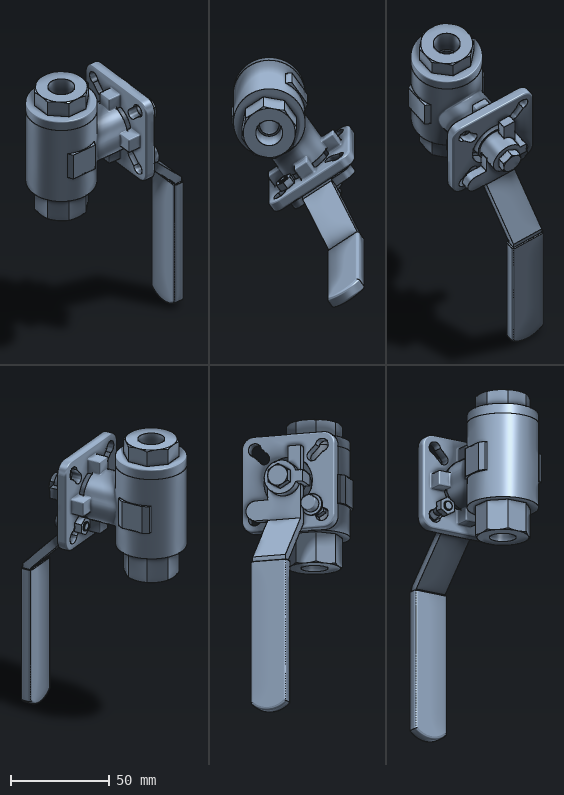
import cadquery as cq
import math


BARREL_R = 18.25
BARREL_BOTTOM = -20.1
SEAM_Z = 24.6
CAP_TOP = 30.0
CAP_EDGE = 0.8
OCTAGON_FLATS = 26.4
OCTAGON_BOTTOM = -36.0
OCTAGON_TOP = 38.85
OCTAGON_BEVEL = math.radians(30)
BORE_R = 4.9
PORT_MOUTH_R = 6.8
PORT_END_R = 5.9
PORT_DEPTH = 12.0

PAD_X = 18.85
PAD_LEFT_FLAT_HALF = 6.0
PAD_LEFT_SHOULDER_X = 17.0
PAD_LEFT_HALF = 9.3
PAD_RIGHT_FLAT_HALF = 7.2
PAD_RIGHT_ROOT_X = 16.0
PAD_RIGHT_HALF = 8.7
PAD_BOTTOM = -5.2
PAD_TOP = 9.8

NECK_R = 13.6
NECK_END = 32.4
NECK_FILLET = 1.4
BONNET_R = 9.7
BONNET_END = 41.3
PLATE_SIZE = 50.16
PLATE_NEAR = 35.28
PLATE_FAR = 41.0
PLATE_CORNER_R = 6.4
PLATE_BORE_R = 13.0
PLATE_EDGE = 1.0
LUG_WIDTH = 8.1
LUG_OUTER = 20.25
LUG_TIP = 27.9
LUG_FILLET = 0.7
LUG_BASE_FILLET = 0.8
SLOT_WIDTH = 5.5
PLATE_HOLE_R = 3.4
INNER_CIRCLE_R = 18.2
OUTER_CIRCLE_R = 25.5

COLLAR_R = 8.7
COLLAR_END = 53.2
DRIVE_R = 6.0
RIB_X = 11.8
RIB_WIDTH = 6.0
STEM_NUT_FLATS = 10.6
STEM_NUT_END = 57.6
NUT_BEVEL = math.radians(30)

HANDLE_WIDTH = 17.7
HANDLE_NEAR = 42.75
HANDLE_THICK = 4.6
UPPER_BEND_Z = -20.8
LOWER_BEND_Z = -45.2
TAB_TOP = 17.3
TAB_RIGHT = -2.0
EAR_CENTRE = 15.3
EAR_R = 5.2
GRIP_WIDTH = 19.6
GRIP_THICK = 6.3
GRIP_FAR = 71.93
GRIP_TOP = -47.8
GRIP_BOTTOM = -126.03
GRIP_SIDE_BOTTOM = -121.8
GRIP_FILLET = 1.5
GRIP_END_WALL = 5.0

STOP_OFFSET = -INNER_CIRCLE_R / math.sqrt(2)
BOLT_R = 2.5
BOLT_HEAD_R = -STOP_OFFSET - HANDLE_WIDTH / 2
BOLT_HEAD_END = 47.3
BOLT_EDGE = 0.4
BOLT_FLANGE_R = 5.55
BOLT_FLANGE_END = 42.3
BOLT_TIP = 30.5
BOLT_NUT_FLATS = 8.2
BOLT_NUT_NEAR = 31.2

MARGIN = 0.1


def cylinder_y(radius, y_start, y_end, x=0.0, z=0.0):
    solid = cq.Solid.makeCylinder(radius, y_end - y_start, cq.Vector(x, y_start, z), cq.Vector(0, 1, 0))
    return cq.Workplane(obj=solid)


def xz_plane(y):
    """Sketch plane at the given y: local x is X, local y is Z and a negative extrusion goes toward +Y."""
    return cq.Workplane("XZ", origin=(0, y, 0))


def prism_diameter(across_flats, sides):
    return across_flats / math.cos(math.pi / sides)


def beveled_octagon(z_inner, z_end):
    """Octagonal wrench section whose corners are turned down to the flats at its outer end."""
    diameter = prism_diameter(OCTAGON_FLATS, 8)
    flat_r = OCTAGON_FLATS / 2
    corner_r = diameter / 2
    outward = math.copysign(1, z_end - z_inner)
    bevel = (corner_r - flat_r) * math.tan(OCTAGON_BEVEL) * outward
    prism = (
        cq.Workplane(origin=(0, 0, z_inner))
        .transformed(rotate=(0, 0, 180 / 8))
        .polygon(8, diameter)
        .extrude(z_end - z_inner)
    )
    envelope = (
        cq.Workplane("XZ")
        .polyline([(0, z_inner), (corner_r, z_inner), (corner_r, z_end - bevel), (flat_r, z_end), (0, z_end)])
        .close()
        .revolve(360, (0, 0), (0, 1))
    )
    return prism.intersect(envelope)


def flow_passage():
    """Straight bore with a tapered thread port at each end."""
    top_port_end = OCTAGON_TOP - PORT_DEPTH
    bottom_port_end = OCTAGON_BOTTOM + PORT_DEPTH
    profile = [
        (0, OCTAGON_BOTTOM),
        (PORT_MOUTH_R, OCTAGON_BOTTOM),
        (PORT_END_R, bottom_port_end),
        (BORE_R, bottom_port_end),
        (BORE_R, top_port_end),
        (PORT_END_R, top_port_end),
        (PORT_MOUTH_R, OCTAGON_TOP),
        (0, OCTAGON_TOP),
    ]
    return cq.Workplane("XZ").polyline(profile).close().revolve(360, (0, 0), (0, 1))


def side_pads():
    """Pads on both sides: shouldered on -X, sloping straight into the barrel on +X."""
    outline = [
        (PAD_X, -PAD_RIGHT_FLAT_HALF),
        (PAD_X, PAD_RIGHT_FLAT_HALF),
        (PAD_RIGHT_ROOT_X, PAD_RIGHT_HALF),
        (0, PAD_RIGHT_HALF),
        (0, PAD_LEFT_HALF),
        (-PAD_LEFT_SHOULDER_X, PAD_LEFT_HALF),
        (-PAD_X, PAD_LEFT_FLAT_HALF),
        (-PAD_X, -PAD_LEFT_FLAT_HALF),
        (-PAD_LEFT_SHOULDER_X, -PAD_LEFT_HALF),
        (0, -PAD_LEFT_HALF),
        (0, -PAD_RIGHT_HALF),
        (PAD_RIGHT_ROOT_X, -PAD_RIGHT_HALF),
    ]
    return cq.Workplane(origin=(0, 0, PAD_BOTTOM)).polyline(outline).close().extrude(PAD_TOP - PAD_BOTTOM)


def mounting_plate():
    """Square plate with rounded edges, a bore around the bonnet, four lugs and diagonal keyhole slots."""
    thickness = PLATE_FAR - PLATE_NEAR
    plate = (
        xz_plane(PLATE_NEAR)
        .rect(PLATE_SIZE, PLATE_SIZE)
        .extrude(-thickness)
        .edges("|Y")
        .fillet(PLATE_CORNER_R)
        .faces("<Y or >Y")
        .edges()
        .fillet(PLATE_EDGE)
    )
    lug = (
        xz_plane(LUG_TIP)
        .center(LUG_OUTER - LUG_WIDTH / 2, 0)
        .rect(LUG_WIDTH, LUG_WIDTH)
        .extrude(LUG_TIP - PLATE_NEAR - thickness / 2)
        .edges("|Y or <Y")
        .fillet(LUG_FILLET)
    )
    slot_length = OUTER_CIRCLE_R - INNER_CIRCLE_R + SLOT_WIDTH
    slot = (
        xz_plane(PLATE_NEAR)
        .center((INNER_CIRCLE_R + OUTER_CIRCLE_R) / 2, 0)
        .slot2D(slot_length, SLOT_WIDTH)
        .extrude(-thickness)
        .union(cylinder_y(PLATE_HOLE_R, PLATE_NEAR, PLATE_FAR, OUTER_CIRCLE_R))
    )
    for quarter in range(4):
        plate = plate.union(lug.rotate((0, 0, 0), (0, 1, 0), 90 * quarter))
    reach = LUG_OUTER + MARGIN
    lug_bases = cq.selectors.BoxSelector(
        (-reach, PLATE_NEAR - MARGIN, -reach), (reach, PLATE_NEAR + MARGIN, reach), boundingbox=True
    )
    plate = plate.edges(lug_bases).fillet(LUG_BASE_FILLET)
    for quarter in range(4):
        plate = plate.cut(slot.rotate((0, 0, 0), (0, 1, 0), 90 * quarter + 45))
    return plate.cut(cylinder_y(PLATE_BORE_R, LUG_TIP, PLATE_FAR))


def valve_body():
    barrel = (
        cq.Workplane(origin=(0, 0, BARREL_BOTTOM))
        .circle(BARREL_R)
        .extrude(SEAM_Z - BARREL_BOTTOM)
        .union(cylinder_y(NECK_R, 0, NECK_END))
    )
    reach = NECK_R + MARGIN
    joint_box = cq.selectors.BoxSelector(
        (-reach, MARGIN, -reach), (reach, NECK_END - MARGIN, reach), boundingbox=True
    )
    barrel = barrel.edges(joint_box).edges("not |Y").fillet(NECK_FILLET)
    body = barrel.union(side_pads()).union(beveled_octagon(BARREL_BOTTOM, OCTAGON_BOTTOM))
    body = body.union(cylinder_y(BONNET_R, NECK_END, BONNET_END))
    body = body.union(mounting_plate())
    lug_joints = cq.selectors.BoxSelector(
        (-reach, LUG_TIP - MARGIN, -reach), (reach, NECK_END - MARGIN, reach)
    )
    body = body.edges(lug_joints).fillet(LUG_BASE_FILLET)
    return body.cut(flow_passage())


def end_cap():
    flange = (
        cq.Workplane(origin=(0, 0, SEAM_Z))
        .circle(BARREL_R)
        .extrude(CAP_TOP - SEAM_Z)
        .faces(">Z")
        .edges()
        .fillet(CAP_EDGE)
    )
    return flange.union(beveled_octagon(CAP_TOP, OCTAGON_TOP)).cut(flow_passage())


def stem_collar():
    """Round collar with a side rib, recessed to fit around the head of the handle."""
    collar = cylinder_y(COLLAR_R, BONNET_END, COLLAR_END)
    rib = (
        xz_plane(BONNET_END)
        .center(-RIB_X / 2, 0)
        .rect(RIB_X, RIB_WIDTH)
        .extrude(BONNET_END - COLLAR_END)
    )
    return collar.union(rib).cut(handle())


def hexagon(across_flats, y_start, y_end, x=0.0, z=0.0):
    """Hexagonal prism along Y with corners up and down."""
    return (
        xz_plane(y_start)
        .center(x, z)
        .transformed(rotate=(0, 0, 30))
        .polygon(6, prism_diameter(across_flats, 6))
        .extrude(y_start - y_end)
    )


def stem_nut():
    prism = hexagon(STEM_NUT_FLATS, COLLAR_END, STEM_NUT_END)
    flat_r = STEM_NUT_FLATS / 2
    corner_r = prism_diameter(STEM_NUT_FLATS, 6) / 2
    bevel = (corner_r - flat_r) * math.tan(NUT_BEVEL)
    profile = [
        (0, COLLAR_END),
        (corner_r, COLLAR_END),
        (corner_r, STEM_NUT_END - bevel),
        (flat_r, STEM_NUT_END),
        (0, STEM_NUT_END),
    ]
    return prism.intersect(cq.Workplane("XY").polyline(profile).close().revolve(360, (0, 0), (0, 1)))


def handle():
    """Flat bar with two opposite bends; its head carries a stop tab and a rounded ear."""
    half_width = HANDLE_WIDTH / 2
    head_near = HANDLE_NEAR
    head_far = head_near + HANDLE_THICK
    tail_near = GRIP_FAR - GRIP_THICK / 2 - HANDLE_THICK / 2
    tail_far = tail_near + HANDLE_THICK
    bend = math.atan2(tail_far - head_far, UPPER_BEND_Z - LOWER_BEND_Z)
    miter = HANDLE_THICK * math.tan(bend / 2)
    tail_end = GRIP_BOTTOM + GRIP_END_WALL
    side_outline = [
        (head_far, TAB_TOP),
        (head_far, UPPER_BEND_Z),
        (tail_far, LOWER_BEND_Z),
        (tail_far, tail_end),
        (tail_near, tail_end),
        (tail_near, LOWER_BEND_Z - miter),
        (head_near, UPPER_BEND_Z - miter),
        (head_near, TAB_TOP),
    ]
    bar = cq.Workplane("YZ").polyline(side_outline).close().extrude(half_width, both=True)
    beside_tab = cq.Workplane().box(half_width - TAB_RIGHT, HANDLE_THICK, TAB_TOP, centered=False)
    bar = bar.cut(beside_tab.translate((TAB_RIGHT, head_near, 0)))
    ear_top = -EAR_CENTRE + EAR_R
    ear = (
        xz_plane(head_near)
        .moveTo(0, ear_top)
        .lineTo(EAR_CENTRE, ear_top)
        .threePointArc((EAR_CENTRE + EAR_R, -EAR_CENTRE), (EAR_CENTRE, -EAR_CENTRE - EAR_R))
        .lineTo(0, -EAR_CENTRE - EAR_R)
        .close()
        .extrude(-HANDLE_THICK)
    )
    return bar.union(ear).cut(cylinder_y(DRIVE_R, head_near, head_far))


def grip():
    half_width = GRIP_WIDTH / 2
    sleeve = (
        xz_plane(GRIP_FAR)
        .moveTo(-half_width, GRIP_TOP)
        .lineTo(half_width, GRIP_TOP)
        .lineTo(half_width, GRIP_SIDE_BOTTOM)
        .threePointArc((0, GRIP_BOTTOM), (-half_width, GRIP_SIDE_BOTTOM))
        .close()
        .extrude(GRIP_THICK)
        .faces("<Y or >Y")
        .edges("not >Z")
        .fillet(GRIP_FILLET)
    )
    return sleeve.cut(handle())


def stop_bolt():
    """Round flanged head and shank through the slot at the -X, -Z corner of the plate."""
    head = cylinder_y(BOLT_HEAD_R, BOLT_FLANGE_END, BOLT_HEAD_END, STOP_OFFSET, STOP_OFFSET)
    head = head.faces(">Y").edges().fillet(BOLT_EDGE)
    flange = cylinder_y(BOLT_FLANGE_R, PLATE_FAR, BOLT_FLANGE_END, STOP_OFFSET, STOP_OFFSET)
    shank = cylinder_y(BOLT_R, BOLT_TIP, PLATE_FAR, STOP_OFFSET, STOP_OFFSET)
    shank = shank.faces("<Y").edges().chamfer(BOLT_EDGE)
    return head.union(flange).union(shank)


def bolt_nut():
    nut = hexagon(BOLT_NUT_FLATS, BOLT_NUT_NEAR, PLATE_NEAR, STOP_OFFSET, STOP_OFFSET)
    return nut.cut(stop_bolt())


result = cq.Compound.makeCompound([
    valve_body().val(),
    end_cap().val(),
    stem_collar().val(),
    stem_nut().val(),
    handle().val(),
    grip().val(),
    stop_bolt().val(),
    bolt_nut().val(),
])